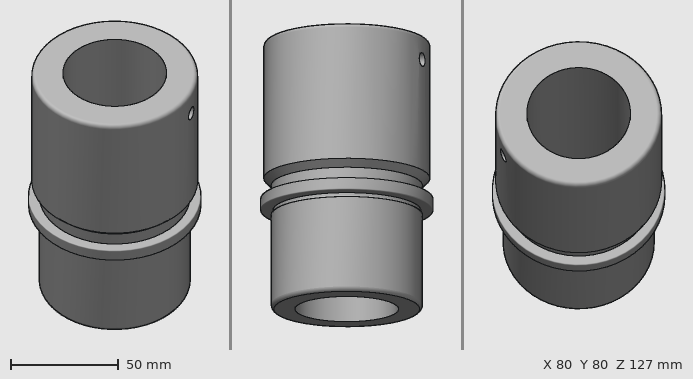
import cadquery as cq

total_height = 127.0
bore_radius = 24.0

spigot_radius = 35.0
spigot_top = 45.0
collar_radius = 40.0
collar_bottom = 47.0
collar_top = 52.8
body_radius = 38.5
body_bottom = 62.4

top_fillet = 2.0
lead_in_width = 1.3
lead_in_height = 1.9
lead_in_radius = 2.5
collar_edge_fillet = 0.5
undercut_fillet = 0.8
undercut_radius = spigot_radius - undercut_fillet

side_hole_diameter = 6.4
side_hole_depth_below_top = 12.0


def cylinder(radius, bottom, top):
    """Upright cylinder on the sleeve axis."""
    return cq.Workplane("XY").workplane(offset=bottom).circle(radius).extrude(top - bottom)


def sleeve_core():
    """Spigot, undercut, neck and main body as one turned profile."""
    cone_height = body_radius - spigot_radius
    return (
        cq.Workplane("XZ")
        .moveTo(0, 0)
        .lineTo(spigot_radius - lead_in_width, 0)
        .radiusArc((spigot_radius, lead_in_height), -lead_in_radius)
        .lineTo(spigot_radius, spigot_top)
        .radiusArc((undercut_radius, spigot_top + undercut_fillet), undercut_fillet)
        .lineTo(undercut_radius, collar_bottom)
        .lineTo(spigot_radius, collar_bottom)
        .lineTo(spigot_radius, body_bottom - cone_height)
        .lineTo(body_radius, body_bottom)
        .lineTo(body_radius, total_height - top_fillet)
        .radiusArc((body_radius - top_fillet, total_height), -top_fillet)
        .lineTo(0, total_height)
        .close()
        .revolve(360, (0, 0, 0), (0, 1, 0))
    )


def collar():
    """Ring around the neck with softened outer edges."""
    return cylinder(collar_radius, collar_bottom, collar_top).edges().fillet(collar_edge_fillet)


def side_hole():
    """Radial drill running from the axis out through the +X wall."""
    return (
        cq.Workplane("YZ")
        .center(0, total_height - side_hole_depth_below_top)
        .circle(side_hole_diameter / 2)
        .extrude(collar_radius)
    )


result = (
    sleeve_core()
    .union(collar())
    .cut(cylinder(bore_radius, 0, total_height))
    .cut(side_hole())
)